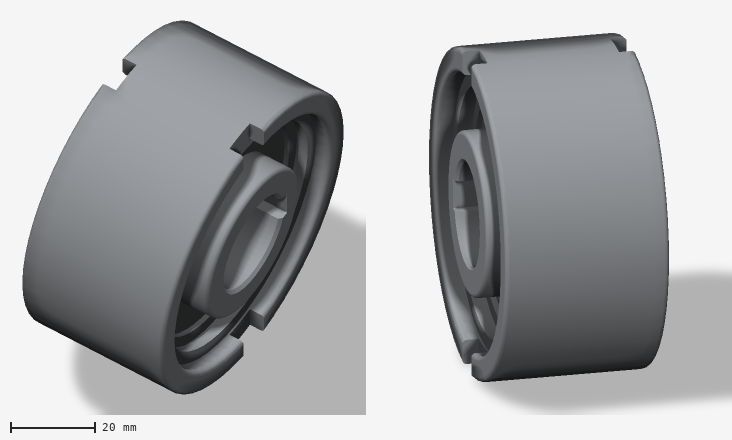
import cadquery as cq

width = 40.0
outer_radius = 40.0
edge_round = 1.0

rim_inner_radius = 33.9
rim_depth = 4.5
middle_step_radius = 30.5
middle_step_depth = 7.0
undercut_radius = 32.0
inner_step_radius = 28.6
inner_step_depth = 8.5
groove_inner_radius = 24.9
groove_depth = 9.8
collar_depth = 9.1
hub_radius = 20.0

bore_radius = 12.5
bore_chamfer = 0.8
keyway_width = 7.8
keyway_reach = 14.6

slot_width = 9.0
slot_depth = 4.0


def disc(radius, length):
    """Solid cylinder along X, beginning at X = 0."""
    return cq.Workplane("YZ").circle(radius).extrude(length)


def at_both_ends(cutter):
    """The cutter together with its mirror image at the opposite end."""
    return cutter.union(cutter.mirror("YZ", (width / 2, 0, 0)))


recess_outline = [
    (0, rim_inner_radius),
    (rim_depth, rim_inner_radius),
    (rim_depth, middle_step_radius),
    (middle_step_depth, middle_step_radius),
    (middle_step_depth, undercut_radius),
    (inner_step_depth, undercut_radius),
    (inner_step_depth, inner_step_radius),
    (groove_depth, inner_step_radius),
    (groove_depth, groove_inner_radius),
    (collar_depth, groove_inner_radius),
    (collar_depth, hub_radius),
    (0, hub_radius),
]
recess = cq.Workplane("XY").polyline(recess_outline).close().revolve(360, (0, 0, 0), (1, 0, 0))
body = disc(outer_radius, width).cut(at_both_ends(recess))

body = body.faces("<X or >X").edges().fillet(edge_round)

body = body.cut(disc(bore_radius, width))
bore_rims = cq.selectors.RadiusNthSelector(0)
body = body.faces("<X or >X").edges(bore_rims).chamfer(bore_chamfer)

keyway = cq.Workplane("XY").box(
    width, keyway_reach, keyway_width, centered=(False, False, True)
)
body = body.cut(keyway)

slot_bar = cq.Workplane("XY").box(
    slot_depth, slot_width, 2 * outer_radius, centered=(False, True, True)
)
slots = slot_bar.cut(disc(rim_inner_radius, slot_depth))
result = body.cut(at_both_ends(slots))